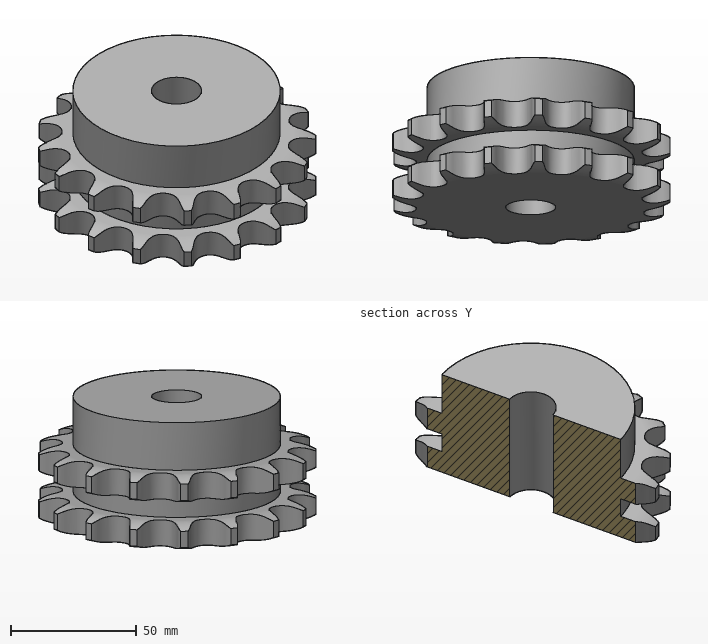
import cadquery as cq
import math


tooth_count = 17
pitch_radius = 51.8
roller_diameter = 12.0
tip_radius = 55.7
rim_width = 10.8
strand_spacing = 19.5
relief_depth = 2.0
relief_radius = 20.0
hub_diameter = 83.0
hub_height = 50.0
bore_diameter = 20.0

seat_radius = 0.505 * roller_diameter
seat_end = 90 - (35 + 60 / tooth_count)
flank_sweep = 18 - 56 / tooth_count
topping_angle = 17 - 64 / tooth_count
exit_heading = 40


def cosine(angle):
    return math.cos(math.radians(angle))


def sine(angle):
    return math.sin(math.radians(angle))


flank_radius = 1.3025 * roller_diameter
topping_radius = roller_diameter * (0.8 * cosine(flank_sweep) + 1.4 * cosine(topping_angle) - 1.3025)
straight_length = roller_diameter * (1.4 * sine(topping_angle) - 0.8 * sine(flank_sweep))
flank_end = seat_end + flank_sweep


def arc_points(start, radius, heading, new_heading):
    """Middle and end of an arc leaving start; rising headings turn left, falling ones turn right."""
    side = 1 if new_heading > heading else -1

    def point_at(angle):
        return (
            start[0] + side * radius * (sine(angle) - sine(heading)),
            start[1] + side * radius * (cosine(heading) - cosine(angle)),
        )

    return point_at((heading + new_heading) / 2), point_at(new_heading)


def mirrored(point):
    return (-point[0], point[1])


def make_gap_cutter(height):
    """Solid filling the tooth gap that is centred on +Y."""
    root = (0, pitch_radius - seat_radius)
    seat_middle, seat_tip = arc_points(root, seat_radius, 0, seat_end)
    flank_middle, flank_tip = arc_points(seat_tip, flank_radius, seat_end, flank_end)
    straight_tip = (
        flank_tip[0] + straight_length * cosine(flank_end),
        flank_tip[1] + straight_length * sine(flank_end),
    )
    topping_middle, topping_tip = arc_points(straight_tip, topping_radius, flank_end, exit_heading)
    return (
        cq.Workplane("XY")
        .moveTo(*root)
        .threePointArc(seat_middle, seat_tip)
        .threePointArc(flank_middle, flank_tip)
        .lineTo(*straight_tip)
        .threePointArc(topping_middle, topping_tip)
        .lineTo(*mirrored(topping_tip))
        .threePointArc(mirrored(topping_middle), mirrored(straight_tip))
        .lineTo(*mirrored(flank_tip))
        .threePointArc(mirrored(flank_middle), mirrored(seat_tip))
        .threePointArc(mirrored(seat_middle), root)
        .close()
        .extrude(height)
    )


def make_rim_blank():
    """Disc with its lower face on Z = 0 and both faces rounded off towards the tips."""
    relief_angle = math.degrees(math.acos(1 - relief_depth / relief_radius))
    relief_start = tip_radius - relief_radius * sine(relief_angle)
    middle_radius = relief_start + relief_radius * sine(relief_angle / 2)
    middle_depth = relief_radius * (1 - cosine(relief_angle / 2))
    return (
        cq.Workplane("XZ")
        .lineTo(relief_start, 0)
        .threePointArc((middle_radius, middle_depth), (tip_radius, relief_depth))
        .lineTo(tip_radius, rim_width - relief_depth)
        .threePointArc((middle_radius, rim_width - middle_depth), (relief_start, rim_width))
        .lineTo(0, rim_width)
        .close()
        .revolve(360, (0, 0, 0), (0, 1, 0))
    )


def make_rim():
    rim = make_rim_blank()
    gap_cutter = make_gap_cutter(rim_width)
    for index in range(tooth_count):
        rim = rim.cut(gap_cutter.rotate((0, 0, 0), (0, 0, 1), index * 360 / tooth_count))
    return rim


rim = make_rim()
hub = cq.Workplane("XY").circle(hub_diameter / 2).extrude(hub_height)
bore = cq.Workplane("XY").circle(bore_diameter / 2).extrude(hub_height)

result = hub.union(rim).union(rim.translate((0, 0, strand_spacing))).cut(bore)